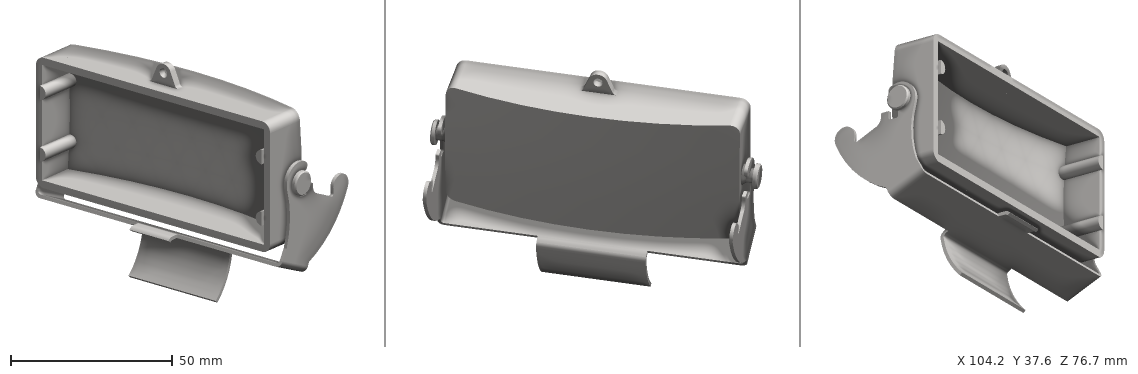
import cadquery as cq
import math

cover_length = 93.8
cover_height = 43.4
corner_radius = 3.2
wall = 2.5
frame_depth = 5.1
cover_depth = 21.7
dome_radius = 183.5
roof_thickness = 2.5
cavity_length = cover_length - 2 * wall
cavity_height = cover_height - 2 * wall

post_diameter = 4.7
post_offset = 10.2
post_projection = 1.1

lug_thickness = 2.4
lug_radius = 3.0
lug_hole_diameter = 3.0
lug_hole_height = 4.0
lug_flank_angle = 23.6
lug_root_radius = 1.5

pin_y = 10.1
pin_tip = 52.1
head_diameter = 8.0
head_thickness = 1.5
head_chamfer = 0.4
neck_diameter = 4.7
flare_diameter = 6.7
neck_radius = neck_diameter / 2

sheet = 1.1
lever_outer_x = 49.4
lever_tilt = 23.2
bend_radius = 2.2
bridge_drop = 27.4
bridge_front = 3.1
bridge_rear = 16.7
tab_width = 15.6
tab_bends = [(1.7, 21.0), (31.3, 4.0), (2.5, 50.0)]
handle_width = 34.9
handle_bends = [(6.3, 20.0), (2.0, 55.0), (25.0, 37.5)]
lever_inner_x = lever_outer_x - sheet
bend_line = bend_radius - bridge_drop

shoulder_radius = 6.3
shoulder_y = 1.3
shoulder_end_angle = 15.0
claw_radius = 1.7
claw_angle = 61.0
throat_floor = -5.6
throat_front = 1.5
throat_rear = 5.0
lip_rear = 7.9
lip_top = -2.6
hook_y = 21.6
hook_z = -7.6
hook_radius = 3.8
throat_corner_radius = 0.7
lip_corner_radius = 0.5
hook_root_radius = 0.8


def polar(center, radius, degrees):
    """Point on a circle, with the angle counted from the first axis."""
    angle = math.radians(degrees)
    return (center[0] + radius * math.cos(angle), center[1] + radius * math.sin(angle))


def along_y(start, end):
    """Workplane at y = start, with the signed extrusion length that reaches y = end."""
    return cq.Workplane("XZ", origin=(0, start, 0)), start - end


def block(length, height, start, end):
    plane, depth = along_y(start, end)
    return plane.rect(length, height).extrude(depth)


def under_dome(thickness):
    """Ball whose crown lies the given thickness below the crown of the cover."""
    ball = cq.Workplane("XY").sphere(dome_radius - thickness)
    return ball.translate((0, cover_depth - dome_radius, 0))


def rounded_block(start, end):
    return block(cover_length, cover_height, start, end).edges("|Y").fillet(corner_radius)


def make_frame():
    opening = block(cavity_length, cavity_height, 0, frame_depth)
    return rounded_block(0, frame_depth).cut(opening)


def make_posts(blank):
    plane, depth = along_y(-post_projection, cover_depth)
    side = cavity_length / 2
    places = [(x, z) for x in (-side, side) for z in (-post_offset, post_offset)]
    rods = plane.pushPoints(places).circle(post_diameter / 2).extrude(depth)
    inside = block(cavity_length, cavity_height, -post_projection, cover_depth)
    return rods.intersect(inside).intersect(blank)


def make_lug():
    base_z = cover_height / 2
    eye = (0, base_z + lug_hole_height)
    tangent_x, tangent_z = polar(eye, lug_radius, lug_flank_angle)
    foot_x = tangent_x + (tangent_z - base_z) * math.tan(math.radians(lug_flank_angle))
    root_length = lug_root_radius * math.tan(math.radians(90 - lug_flank_angle) / 2)
    root_angle = 180 + lug_flank_angle
    root_center = (foot_x + root_length, base_z + lug_root_radius)
    root_top = polar(root_center, lug_root_radius, root_angle)
    root_middle = polar(root_center, lug_root_radius, (root_angle + 270) / 2)
    plane, depth = along_y(frame_depth, frame_depth + lug_thickness)
    lug = (
        plane.moveTo(-root_center[0], base_z)
        .threePointArc((-root_middle[0], root_middle[1]), (-root_top[0], root_top[1]))
        .lineTo(-tangent_x, tangent_z)
        .threePointArc((0, eye[1] + lug_radius), (tangent_x, tangent_z))
        .lineTo(*root_top)
        .threePointArc(root_middle, (root_center[0], base_z))
        .lineTo(root_center[0], base_z - wall / 2)
        .lineTo(-root_center[0], base_z - wall / 2)
        .close()
        .extrude(depth)
    )
    hole = plane.center(*eye).circle(lug_hole_diameter / 2).extrude(depth)
    return lug.cut(hole)


def make_hood():
    blank = under_dome(0)
    shell = rounded_block(frame_depth, cover_depth).intersect(blank)
    cavity = block(cavity_length, cavity_height, frame_depth, cover_depth)
    cavity = cavity.intersect(under_dome(roof_thickness))
    return shell.cut(cavity).union(make_posts(blank)).union(make_lug())


def make_pin(side):
    """Headed pin standing on the cover's end wall, turned about the X direction."""
    head_inner = pin_tip - head_thickness
    wall_x = cover_length / 2
    pin = (
        cq.Workplane("XY")
        .moveTo(wall_x, 0)
        .lineTo(wall_x, flare_diameter / 2)
        .lineTo(lever_inner_x, neck_radius)
        .lineTo(head_inner, neck_radius)
        .lineTo(head_inner, head_diameter / 2)
        .lineTo(pin_tip, head_diameter / 2)
        .lineTo(pin_tip, 0)
        .close()
        .revolve(360, (0, 0, 0), (1, 0, 0))
        .faces(">X")
        .edges()
        .chamfer(head_chamfer)
    )
    if side < 0:
        pin = pin.mirror("YZ")
    return pin.translate((0, pin_y, 0))


def tilted(y, z):
    """Point given square to the bridge, turned to the lever's position."""
    angle = math.radians(lever_tilt)
    return (y * math.cos(angle) + z * math.sin(angle), z * math.cos(angle) - y * math.sin(angle))


def make_cheek():
    """Flat side plate of the lever, hooked around the pin axis at the origin."""
    shoulder = (shoulder_y, 0)
    claw = polar(shoulder, shoulder_radius - claw_radius, claw_angle)
    claw_end = (claw[0], claw[1] - claw_radius)
    neck_exit = (throat_front, -math.sqrt(neck_radius**2 - throat_front**2))
    hook = (hook_y, hook_z)
    hook_root = (18.1, -10.5)
    lip_corner = (lip_rear, lip_top)
    cheek = (
        cq.Workplane("YZ")
        .moveTo(*polar(shoulder, shoulder_radius, 180 + shoulder_end_angle))
        .threePointArc(
            polar(shoulder, shoulder_radius, 120),
            polar(shoulder, shoulder_radius, claw_angle),
        )
        .threePointArc(polar(claw, claw_radius, 0), claw_end)
        .lineTo(0, neck_radius)
        .threePointArc((-neck_radius, 0), neck_exit)
        .lineTo(throat_front, throat_floor)
        .lineTo(throat_rear, throat_floor)
        .lineTo(throat_rear, lip_top)
        .lineTo(*lip_corner)
        .lineTo(lip_rear, -4.3)
        .threePointArc((8.8, -6.0), (10.4, -7.1))
        .lineTo(*hook_root)
        .lineTo(*polar(hook, hook_radius, 175))
        .threePointArc(polar(hook, hook_radius, 90), polar(hook, hook_radius, -25))
        .threePointArc((17.9, -20.0), tilted(bridge_rear, bend_line + 1.5))
        .lineTo(*tilted(bridge_rear, bend_line))
        .lineTo(*tilted(bridge_front, bend_line))
        .lineTo(-5.1, -20.9)
        .threePointArc((-3.4, -10.4), (-3.8, -6.3))
        .close()
        .extrude(sheet)
    )
    rounded_corners = [
        ((throat_front, throat_floor), throat_corner_radius),
        ((throat_rear, throat_floor), throat_corner_radius),
        (lip_corner, lip_corner_radius),
        (hook_root, hook_root_radius),
    ]
    for (y, z), radius in rounded_corners:
        corner = cq.selectors.NearestToPointSelector((sheet / 2, y, z))
        cheek = cheek.edges("|X").edges(corner).fillet(radius)
    return cheek


def make_bridge():
    """Flat cross strip with rounded bends up to the cheeks."""
    length = bridge_rear - bridge_front
    plane = cq.Workplane("XZ", origin=(0, bridge_front, 0))
    channel_height = 2 * bend_radius
    channel = (
        plane.center(0, bend_line)
        .rect(2 * lever_outer_x, channel_height)
        .extrude(-length)
        .edges("|Y and <Z")
        .fillet(bend_radius)
    )
    hollow = (
        plane.center(0, bend_line + sheet)
        .rect(2 * lever_inner_x, channel_height)
        .extrude(-length)
        .edges("|Y and <Z")
        .fillet(bend_radius - sheet)
    )
    above = plane.center(0, bend_line + bend_radius).rect(2 * pin_tip, channel_height).extrude(-length)
    return channel.cut(hollow).cut(above)


def make_curl(width, start_y, direction, bends):
    """Strip that continues the bridge over one edge and curls down through tangent bends."""
    outer = (start_y, sheet - bridge_drop)
    outer_arcs = []
    inner_arcs = []
    angle = 90.0
    profile = cq.Workplane("YZ", origin=(-width / 2, 0, 0)).moveTo(*outer)
    for radius, turn in bends:
        center = polar(outer, -radius, angle)
        middle_angle = angle - direction * turn / 2
        end_angle = angle - direction * turn
        inner_radius = radius - sheet
        outer = polar(center, radius, end_angle)
        outer_arcs.append((polar(center, radius, middle_angle), outer))
        inner_arcs.append((polar(center, inner_radius, middle_angle), polar(center, inner_radius, angle)))
        angle = end_angle
    for middle, end in outer_arcs:
        profile = profile.threePointArc(middle, end)
    profile = profile.lineTo(*polar(center, inner_radius, angle))
    for middle, end in reversed(inner_arcs):
        profile = profile.threePointArc(middle, end)
    return profile.close().extrude(width)


def make_lever():
    cross_sheet = make_bridge()
    cross_sheet = cross_sheet.union(make_curl(tab_width, bridge_front, -1, tab_bends))
    cross_sheet = cross_sheet.union(make_curl(handle_width, bridge_rear, 1, handle_bends))
    lever = cross_sheet.rotate((0, 0, 0), (1, 0, 0), -lever_tilt)
    for inner_x in (lever_inner_x, -lever_outer_x):
        lever = lever.union(make_cheek().translate((inner_x, 0, 0)))
    return lever.translate((0, pin_y, 0))


frame = make_frame()
hood = make_hood()
lever = make_lever()
pins = [make_pin(side) for side in (-1, 1)]

result = cq.Compound.makeCompound(
    [frame.val(), hood.val(), lever.val(), *[pin.val() for pin in pins]]
)